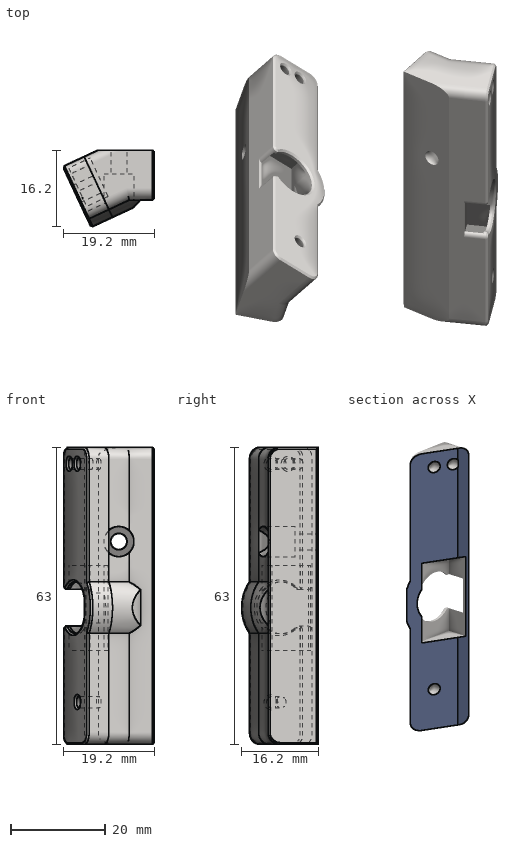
import cadquery as cq
import math

height = 63.0
bend_angle = math.radians(25)
straight_thickness = 10.6
front_bend_x = -5.3
bent_front_length = 9.76
bent_thickness = 12.4
front_round = 2.5
back_round = 2.0
edge_chamfer = 0.4

plate_thickness = 5.0

opening_height = 29.0
opening_offset = 5.25
opening_radius = 5.5
bulge_radius = 9.0
bulge_end_x = -2.9
pocket_width = 9.0
pocket_height = 18.0
pocket_lip = 1.0
pocket_floor = plate_thickness + 1.0
slot_width = 7.7
slot_mouth_round = 1.0

pin_hole_diameter = 2.4
pin_hole_spacing = 4.0
upper_hole_height = 59.5
lower_hole_height = 9.0
screw_diameter = 3.4
screw_head_diameter = 6.4
screw_x = -7.5
screw_height = 43.0
screw_head_floor = 5.0

inward = (math.cos(bend_angle), math.sin(bend_angle))
across = (math.sin(bend_angle), -math.cos(bend_angle))


def shift(point, direction, distance):
    return (point[0] + direction[0] * distance, point[1] + direction[1] * distance)


front_bend = (front_bend_x, -straight_thickness)
front_corner = shift(front_bend, inward, -bent_front_length)
back_corner = shift(front_corner, across, -bent_thickness)
back_bend = shift(back_corner, inward, -back_corner[1] / inward[1])

face_plane = cq.Plane(
    origin=(*back_corner, 0),
    xDir=(*across, 0),
    normal=(-inward[0], -inward[1], 0),
)


def at_depth(depth):
    return cq.Workplane(face_plane).workplane(offset=-depth)


def edges_near(block, start, end):
    """Top and bottom edges of the block that run between two outline points."""
    x = (start[0] + end[0]) / 2
    y = (start[1] + end[1]) / 2
    reach = 0.1
    low = (x - reach, y - reach, -reach)
    high = (x + reach, y + reach, height + reach)
    return block.edges(cq.selectors.BoxSelector(low, high))


def make_block():
    right_front = (0, -straight_thickness)
    outline = [(0, 0), back_bend, back_corner, front_corner, front_bend, right_front]
    block = cq.Workplane("XY").polyline(outline).close().extrude(height)
    block = edges_near(block, back_corner, back_bend).fillet(back_round)
    bent_edges = edges_near(block, front_corner, front_bend)
    straight_edges = edges_near(block, front_bend, right_front)
    block = bent_edges.add(straight_edges).fillet(front_round)
    return block.faces(">X").edges().chamfer(edge_chamfer)


def make_bulge():
    """Half-round swelling along the front of the bent leg, ended at 45 degrees."""
    axis_point = shift(back_corner, across, opening_offset)
    crest = shift(axis_point, across, bulge_radius)
    end_foot = (bulge_end_x, -straight_thickness)
    gap = (end_foot[0] - crest[0]) - (end_foot[1] - crest[1])
    crest_end = shift(crest, inward, gap / (inward[0] - inward[1]))
    inner_end = shift(axis_point, inward, bent_front_length)
    outline = [axis_point, crest, crest_end, end_foot, inner_end]
    slab = cq.Workplane("XY").polyline(outline).close().extrude(height)
    axis = at_depth(0).center(opening_offset, opening_height)
    round_bar = axis.circle(bulge_radius).extrude(-2 * bent_front_length)
    return slab.intersect(round_bar)


def make_opening():
    """Round opening in the plate with a slot to the back that widens at its mouth."""
    half = slot_width / 2
    r = slot_mouth_round
    arc_middle = r * (1 - math.sqrt(0.5))
    slot = (
        at_depth(0)
        .center(0, opening_height)
        .moveTo(0, half + r)
        .threePointArc((arc_middle, half + arc_middle), (r, half))
        .lineTo(opening_offset, half)
        .lineTo(opening_offset, -half)
        .lineTo(r, -half)
        .threePointArc((arc_middle, -half - arc_middle), (0, -half - r))
        .close()
        .extrude(-plate_thickness)
    )
    bore = at_depth(0).center(opening_offset, opening_height).circle(opening_radius).extrude(-plate_thickness)
    return bore.union(slot)


def make_pocket():
    return (
        at_depth(pocket_lip)
        .center(opening_offset, opening_height)
        .rect(pocket_width, pocket_height)
        .extrude(pocket_lip - pocket_floor)
    )


def make_pin_holes():
    inner = opening_offset - pin_hole_spacing / 2
    outer = opening_offset + pin_hole_spacing / 2
    places = [(inner, upper_hole_height), (outer, upper_hole_height), (outer, lower_hole_height)]
    return at_depth(0).pushPoints(places).circle(pin_hole_diameter / 2).extrude(-plate_thickness)


def make_screw_hole():
    front = cq.Workplane("XZ").center(screw_x, screw_height)
    shank = front.circle(screw_diameter / 2).extrude(2 * bent_thickness)
    head = front.workplane(offset=screw_head_floor).circle(screw_head_diameter / 2).extrude(2 * bent_thickness)
    return shank.union(head)


def make_plate_space():
    """Everything in front of the split, as one large slab."""
    side = 3 * height
    return at_depth(plate_thickness).rect(side, side).extrude(side)


block = make_block().union(make_bulge())
pocket = make_pocket()
plate_space = make_plate_space()

plate = block.intersect(plate_space).cut(make_opening()).cut(make_pin_holes())
outer_face = cq.selectors.DirectionMinMaxSelector(face_plane.zDir, True)
plate = plate.faces(outer_face).edges().chamfer(edge_chamfer)
plate = plate.cut(pocket)

body = block.cut(plate_space).cut(pocket).cut(make_screw_hole())

result = cq.Compound.makeCompound([plate.val(), body.val()])